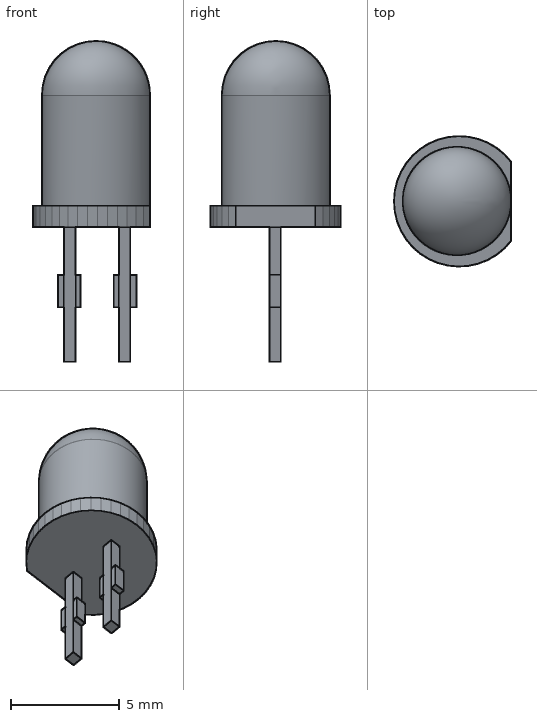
import cadquery as cq
import math

total_height = 14.8

lens_radius = 2.5
dome_base_z = total_height - lens_radius

flange_radius = 3.012
flange_center_x = 0.1
flange_center_y = -0.01
flange_bottom_z = 6.22
flange_thickness = 0.99
flange_top_z = flange_bottom_z + flange_thickness
flange_facets = 32
flat_distance = lens_radius - flange_center_x

lead_width = 0.53
lead_pitch = 2.53
lead_pair_x = 0.06
lead_y = -0.03
lead_sides = (-1, 1)

outer_stop_width = 0.28
inner_stop_width = 0.24
stop_bottom_z = 2.52
stop_height = 1.5


def make_lens():
    """Cylinder and hemisphere, revolved as one profile standing on the flange."""
    arc_offset = lens_radius * math.sqrt(0.5)
    return (
        cq.Workplane("XZ")
        .moveTo(0, flange_top_z)
        .lineTo(lens_radius, flange_top_z)
        .lineTo(lens_radius, dome_base_z)
        .threePointArc((arc_offset, dome_base_z + arc_offset), (0, total_height))
        .close()
        .revolve(360, (0, 0), (0, 1))
    )


def make_flange():
    """Equal facets run around the disc from one end of the flat to the other."""
    flat_half_angle = math.acos(flat_distance / flange_radius)
    facet_angle = 2 * (math.pi - flat_half_angle) / flange_facets
    angles = [flat_half_angle + i * facet_angle for i in range(flange_facets + 1)]
    corners = [(flange_radius * math.cos(a), flange_radius * math.sin(a)) for a in angles]
    return (
        cq.Workplane("XY", origin=(flange_center_x, flange_center_y, flange_bottom_z))
        .polyline(corners)
        .close()
        .extrude(flange_thickness)
    )


def lead_x(side):
    return lead_pair_x + side * lead_pitch / 2


def make_lead(side):
    """Square post from Z = 0 up to the underside of the flange."""
    return (
        cq.Workplane("XY", origin=(lead_x(side), lead_y, 0))
        .rect(lead_width, lead_width)
        .extrude(flange_bottom_z)
    )


def make_stop(side, direction):
    """Block on the face of a lead that points along X in the given direction."""
    width = outer_stop_width if direction == side else inner_stop_width
    center_x = lead_x(side) + direction * (lead_width + width) / 2
    return (
        cq.Workplane("XY", origin=(center_x, lead_y, stop_bottom_z))
        .rect(width, lead_width)
        .extrude(stop_height)
    )


lens = make_lens()
flange = make_flange()
leads = [make_lead(side).val() for side in lead_sides]
stops = [make_stop(side, direction).val() for side in lead_sides for direction in (-1, 1)]

result = cq.Compound.makeCompound([lens.val(), flange.val(), *leads, *stops])